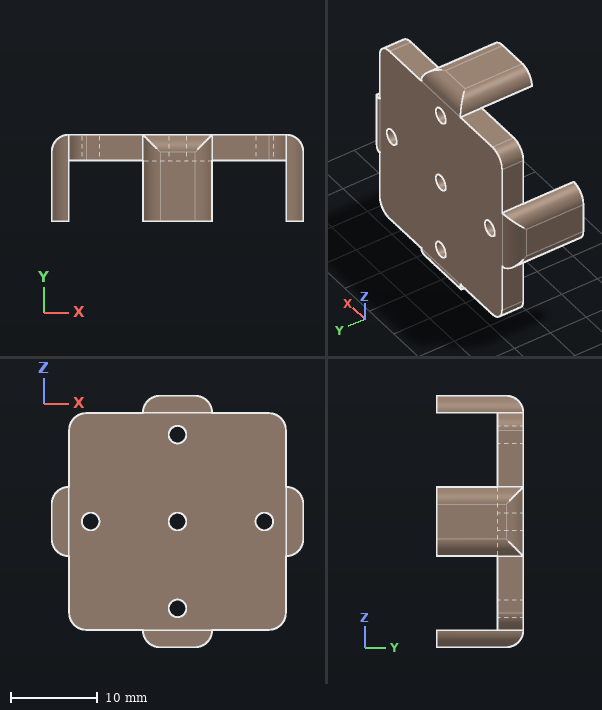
import cadquery as cq

overall_span = 29.0
clip_length = 10.0
clip_thickness = 2.0
clip_width = 8.0
plate_thickness = 3.0
hole_diameter = 2.0
hole_offset = 10.0

plate_side = overall_span - 2 * clip_thickness
corner_radius = clip_thickness
clip_inner = plate_side / 2
clip_outer = overall_span / 2


def make_plate():
    """Square plate with rounded corners, its back face on the plane Y = 0."""
    return (
        cq.Workplane("XZ")
        .rect(plate_side, plate_side)
        .extrude(plate_thickness)
        .edges("|Y")
        .fillet(corner_radius)
    )


def make_clip():
    """Clip on the +Z side: long edges and back edge rounded, meeting in mitred corners."""
    half_width = clip_width / 2
    rounded_across = (
        cq.Workplane("XZ")
        .moveTo(-half_width, clip_inner)
        .radiusArc((-half_width + corner_radius, clip_outer), corner_radius)
        .lineTo(half_width - corner_radius, clip_outer)
        .radiusArc((half_width, clip_inner), corner_radius)
        .close()
        .extrude(clip_length)
    )
    rounded_back = (
        cq.Workplane("YZ")
        .moveTo(-clip_length, clip_inner)
        .lineTo(-clip_length, clip_outer)
        .lineTo(-corner_radius, clip_outer)
        .radiusArc((0, clip_inner), corner_radius)
        .close()
        .extrude(half_width, both=True)
    )
    return rounded_across.intersect(rounded_back)


def make_holes():
    """Five through holes: one at the centre and one facing each clip."""
    centres = [
        (0, 0),
        (hole_offset, 0),
        (-hole_offset, 0),
        (0, hole_offset),
        (0, -hole_offset),
    ]
    return (
        cq.Workplane("XZ")
        .pushPoints(centres)
        .circle(hole_diameter / 2)
        .extrude(plate_thickness)
    )


result = make_plate()
clip = make_clip()
for angle in (0, 90, 180, 270):
    result = result.union(clip.rotate((0, 0, 0), (0, 1, 0), angle))
result = result.cut(make_holes())